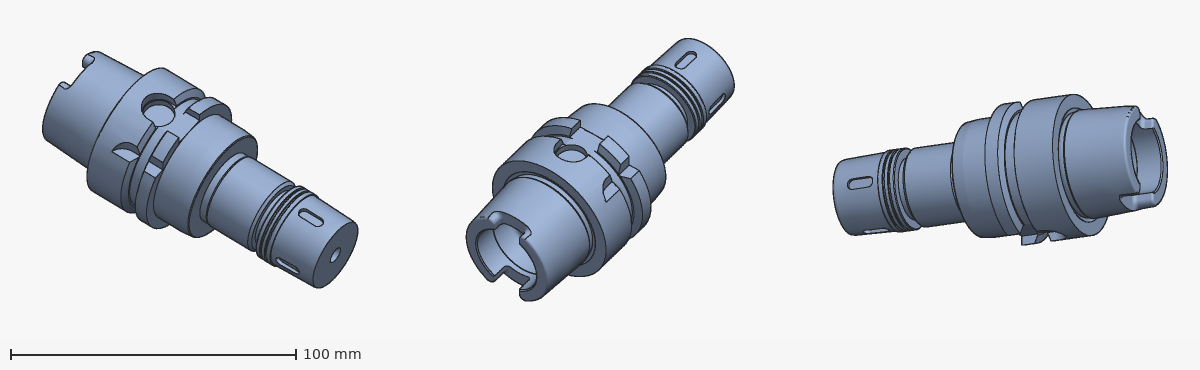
import cadquery as cq

length = 115.0

shank_end_radius = 18.0
shank_base_radius = 38.5 / 2
shank_taper_end = 23.0
relief_radius = 18.9
relief_start = 23.6
mouth_round = 0.9

flange_start = 25.0
flange_end = 51.1
flange_radius = 50.0 / 2
face_relief_depth = 0.7
face_relief_inner = 19.5
face_relief_start = 24.6
face_relief_floor = 18.6
groove_radius = 21.5
groove_start = 41.0
groove_end = 44.8
groove_flare = 1.3
groove_shoulder = 22.2

hub_radius = 20.9
hub_taper_start = 61.3
hub_end = 66.0
hub_end_radius = 20.5
hub_chamfer = 0.3
neck_radius = 13.8
neck_end = 68.8
barrel_start = 69.3
barrel_radius = 14.0
barrel_end = 88.1
barrel_chamfer = 1.0

throat_radius = 22.0 / 2
nut_start = 90.8
nut_radius = 14.5
nut_chamfer = 0.3
ring_groove_starts = (92.6, 94.6)
ring_groove_width = 0.8
ring_groove_depth = 0.7
nut_band_end = 97.2
nut_cone_radius = 14.0
nut_tip_start = 114.0
nut_tip_radius = 13.5
nut_face_radius = 13.2

bore_radius = 13.0
bore_mouth_chamfer = 0.5
bore_straight_depth = 9.8
bore_inner_radius = 13.2
bore_floor_round = 1.6
bore_floor_depth = 19.5
tube_radius = 16.0 / 2
tube_tip_radius = 7.0
tube_length = 1.4
tube_bore_radius = 4.3
tube_mouth_radius = 10.0 / 2
tube_bore_depth = 11.5
through_hole_radius = 3.0

drive_slot_width = 10.7
drive_slot_depth_top = 4.5
drive_slot_depth_bottom = 7.5
drive_slot_inner = 9.2
drive_flat_height = 16.1
drive_flare_radius = 2.1
drive_floor_round = 1.6

key_slot_radius = 6.1
key_slot_center = 37.8
key_pocket_radius = 5.6
key_pocket_depth = 2.6
notch_wall = 15.4
notch_floor = 15.3

spanner_slot_center = 104.3
spanner_slot_length = 9.9
spanner_slot_width = 3.9
spanner_slot_floor = 12.3
spanner_slot_count = 4


def revolve_about_x(points):
    """Solid of revolution about X from (x, radius) points."""
    return cq.Workplane("XY").polyline(points).close().revolve(360, (0, 0, 0), (1, 0, 0))


def make_body():
    """Turned outer shape, rounded at the shank mouth and relieved at the flange face."""
    ring_grooves = []
    for start in ring_groove_starts:
        end = start + ring_groove_width
        bottom = nut_radius - ring_groove_depth
        ring_grooves += [(start, nut_radius), (start, bottom), (end, bottom), (end, nut_radius)]
    body = revolve_about_x([
        (0, 0),
        (0, shank_end_radius),
        (shank_taper_end, shank_base_radius),
        (relief_start, relief_radius),
        (flange_start, relief_radius),
        (flange_start, flange_radius),
        (groove_start - groove_flare, flange_radius),
        (groove_start, groove_shoulder),
        (groove_start, groove_radius),
        (groove_end, groove_radius),
        (groove_end, groove_shoulder),
        (groove_end + groove_flare, flange_radius),
        (flange_end, flange_radius),
        (flange_end, hub_radius),
        (hub_taper_start, hub_radius),
        (hub_end - hub_chamfer, hub_end_radius),
        (hub_end, hub_end_radius - hub_chamfer),
        (hub_end, neck_radius),
        (neck_end, neck_radius),
        (barrel_start, barrel_radius),
        (barrel_end - barrel_chamfer, barrel_radius),
        (barrel_end, barrel_radius - barrel_chamfer),
        (barrel_end, throat_radius),
        (nut_start, throat_radius),
        (nut_start, nut_radius - nut_chamfer),
        (nut_start + nut_chamfer, nut_radius),
        *ring_grooves,
        (nut_band_end, nut_radius),
        (nut_band_end, nut_cone_radius),
        (nut_tip_start, nut_tip_radius),
        (length, nut_face_radius),
        (length, 0),
    ])
    body = body.faces("<X").edges().fillet(mouth_round)
    return body.cut(make_face_relief())


def make_face_relief():
    """Ring groove sunk into the flange face around the shank, its outer corner round."""
    face_relief_outer = face_relief_inner + face_relief_depth
    return (
        cq.Workplane("XY")
        .moveTo(face_relief_start, relief_radius)
        .lineTo(flange_start + face_relief_depth, face_relief_floor)
        .lineTo(flange_start + face_relief_depth, face_relief_inner)
        .radiusArc((flange_start, face_relief_outer), -face_relief_depth)
        .lineTo(face_relief_start, face_relief_outer)
        .close()
        .revolve(360, (0, 0, 0), (1, 0, 0))
    )


def make_bore():
    """Shank bore around a short central tube, with a hole through the whole part."""
    tube_tip = bore_floor_depth - tube_length
    tube_chamfer = tube_radius - tube_tip_radius
    tube_mouth_chamfer = tube_mouth_radius - tube_bore_radius
    tube_bore_end = tube_tip + tube_bore_depth
    inner_bore = (
        cq.Workplane("YZ", origin=(bore_straight_depth, 0, 0))
        .circle(bore_inner_radius)
        .extrude(bore_floor_depth - bore_straight_depth)
        .faces(">X")
        .edges()
        .fillet(bore_floor_round)
    )
    tube = revolve_about_x([
        (tube_tip, 0),
        (tube_tip, tube_tip_radius),
        (tube_tip + tube_chamfer, tube_radius),
        (bore_floor_depth, tube_radius),
        (bore_floor_depth, 0),
    ])
    mouth_bore = revolve_about_x([
        (0, 0),
        (0, bore_radius + bore_mouth_chamfer),
        (bore_mouth_chamfer, bore_radius),
        (bore_straight_depth, bore_radius),
        (bore_straight_depth, 0),
    ])
    tube_bore = revolve_about_x([
        (tube_tip, 0),
        (tube_tip, tube_mouth_radius),
        (tube_tip + tube_mouth_chamfer, tube_bore_radius),
        (tube_bore_end, tube_bore_radius),
        (tube_bore_end, 0),
    ])
    through_hole = cq.Workplane("YZ").circle(through_hole_radius).extrude(length)
    return inner_bore.cut(tube).union(mouth_bore).union(tube_bore).union(through_hole)


def slot_side_edges(x):
    """Selector for the edges at this x along the walls, flares and flats of a drive slot."""
    margin = 0.1
    reach = flange_radius - margin
    return cq.selectors.BoxSelector(
        (x - margin, -reach, drive_slot_inner + margin),
        (x + margin, reach, drive_flat_height + margin),
    )


def make_drive_slot(depth):
    """Slot across the shank end at +Z that flares out onto a flat, with a rounded floor edge."""
    half = drive_slot_width / 2
    flare = drive_flare_radius
    reach = flange_radius
    slot = (
        cq.Workplane("YZ")
        .moveTo(-half, drive_slot_inner)
        .lineTo(half, drive_slot_inner)
        .lineTo(half, drive_flat_height - flare)
        .radiusArc((half + flare, drive_flat_height), flare)
        .lineTo(reach, drive_flat_height)
        .lineTo(reach, reach)
        .lineTo(-reach, reach)
        .lineTo(-reach, drive_flat_height)
        .lineTo(-half - flare, drive_flat_height)
        .radiusArc((-half, drive_flat_height - flare), flare)
        .close()
        .extrude(depth)
    )
    land_thickness = 2 * mouth_round
    land_block = (
        cq.Workplane("YZ")
        .rect(2 * reach, reach - drive_slot_inner)
        .extrude(land_thickness)
        .translate((0, 0, (reach + drive_slot_inner) / 2))
    )
    lands = land_block.cut(slot)
    lands = lands.faces("<X").edges(slot_side_edges(0)).fillet(mouth_round)
    slot = slot.faces(">X").edges(slot_side_edges(depth)).fillet(drive_floor_round)
    return slot.union(land_block.cut(lands))


def make_flange_slot(y_center, floor):
    """Slot along the flange with its floor square to Z, round-ended towards the shank."""
    run = flange_end - key_slot_center
    plane = cq.Workplane("XY", origin=(key_slot_center, y_center, floor))
    straight = plane.center(run / 2, 0).rect(run, 2 * key_slot_radius).extrude(flange_radius)
    return plane.circle(key_slot_radius).extrude(flange_radius).union(straight)


def make_key_slot():
    """Slot on the +Z side of the flange with a round pocket sunk into its closed end."""
    pocket = (
        cq.Workplane("XY", origin=(key_slot_center, 0, hub_radius - key_pocket_depth))
        .circle(key_pocket_radius)
        .extrude(flange_radius)
    )
    return make_flange_slot(0, hub_radius).union(pocket)


def make_corner_notch():
    """Slot at the -Y, +Z corner of the flange; only its inner wall and floor remain."""
    return make_flange_slot(-notch_wall - key_slot_radius, notch_floor)


def make_spanner_slot():
    """Flat-floored obround slot on the +Z side of the nut."""
    return (
        cq.Workplane("XY", origin=(spanner_slot_center, 0, spanner_slot_floor))
        .slot2D(spanner_slot_length, spanner_slot_width)
        .extrude(nut_radius)
    )


def turned(shape, angle):
    """Shape rotated about the X axis by an angle in degrees."""
    return shape.rotate((0, 0, 0), (1, 0, 0), angle)


result = make_body().cut(make_bore())
result = result.cut(make_drive_slot(drive_slot_depth_top))
result = result.cut(turned(make_drive_slot(drive_slot_depth_bottom), 180))
for side_angle in (0, 180):
    result = result.cut(turned(make_key_slot(), side_angle))
result = result.cut(make_corner_notch())
for index in range(spanner_slot_count):
    result = result.cut(turned(make_spanner_slot(), index * 360 / spanner_slot_count))